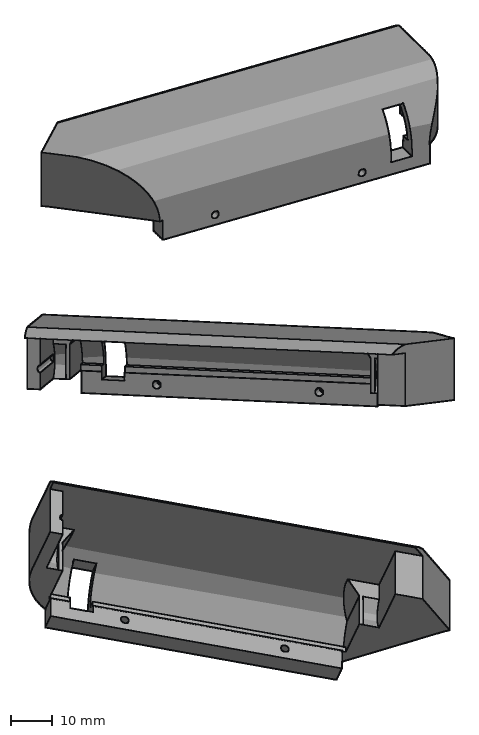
import cadquery as cq
import math

width = 32.2
length = 102.7
height = 20.5

base_z = 5.4
outer_radius = height - base_z
wall = 2.2
inner_radius = outer_radius - wall
arc_x = width - outer_radius
roof_overrun = 1.2
roof_bottom = height - wall

lip = 2.7
lip_bulge = 0.2

tip_x = 12.6
tip_flank = (13.6, 1.2)
front_left_y = 12.3
front_right_y = 21.7
rear_arc_x = 17.9
rear_right_y = 95.0

front_wall_y = 16.5
rear_wall_y = 99.5
gusset_x = 16.4
front_gusset_y = 21.5
rear_gusset_y = 95.5
gusset_flare = 2.9
flare_z = 14.0
rim = 0.9
recess_depth = 1.6

plate_thick = 4.7
plate_front_y = 22.5
plate_rear_y = 95.2
ledge_top = 6.9
ledge_setback = 0.3
hole_diameter = 2.0
hole_z = 2.9
hole_ys = (36.8, 76.7)

window_y = 84.6
window_width = 5.6
window_bottom = 3.5
window_height = 12.5

groove_z = 10.5
groove_y = 99.2


def box(x0, x1, y0, y1, z0, z1):
    return cq.Workplane("XY").box(x1 - x0, y1 - y0, z1 - z0, centered=False).translate((x0, y0, z0))


def x_cylinder(diameter, x0, x1, y, z):
    circle = cq.Workplane("YZ", origin=(x0, 0, 0)).center(y, z).circle(diameter / 2)
    return circle.extrude(x1 - x0)


def quarter_profile(left, radius, y0, y1):
    """Section with a rounded side; the flat top runs slightly past the arc center."""
    diagonal = radius * math.sqrt(0.5)
    profile = (
        cq.Workplane("XZ", origin=(0, y0, 0))
        .moveTo(left, base_z)
        .lineTo(left, base_z + radius)
        .lineTo(arc_x + roof_overrun, base_z + radius)
        .threePointArc((arc_x + diagonal, base_z + diagonal), (arc_x + radius, base_z))
        .close()
    )
    return profile.extrude(y0 - y1)


def make_lip():
    middle = (lip / 2 - lip_bulge, (roof_bottom + height) / 2 + lip_bulge)
    profile = (
        cq.Workplane("XZ")
        .moveTo(lip, roof_bottom)
        .lineTo(0, roof_bottom)
        .threePointArc(middle, (lip, height))
        .close()
    )
    return profile.extrude(-length)


def plan_prism():
    run = width - rear_arc_x
    drop = length - rear_right_y
    radius = (run**2 + drop**2) / (2 * drop)
    half_angle = math.asin(run / radius) / 2
    middle = (
        rear_arc_x + radius * math.sin(half_angle),
        length - radius * (1 - math.cos(half_angle)),
    )
    outline = (
        cq.Workplane("XY")
        .moveTo(tip_x, 0)
        .lineTo(*tip_flank)
        .lineTo(width, front_right_y)
        .lineTo(width, rear_right_y)
        .threePointArc(middle, (rear_arc_x, length))
        .lineTo(0, length)
        .lineTo(0, front_left_y)
        .close()
    )
    return outline.extrude(height)


def make_gusset(wall_y, edge_y):
    """Corner filler, flared under the roof, with a concave recess in its face."""
    inward = math.copysign(1, edge_y - wall_y)
    flare_y = edge_y + inward * gusset_flare
    profile = (
        cq.Workplane("YZ", origin=(gusset_x, 0, 0))
        .polyline(
            [
                (wall_y, base_z),
                (edge_y, base_z),
                (edge_y, flare_z),
                (flare_y, roof_bottom),
                (wall_y, roof_bottom),
            ]
        )
        .close()
    )
    recess = (
        cq.Workplane("XZ", origin=(0, wall_y, 0))
        .moveTo(gusset_x, base_z)
        .threePointArc((gusset_x + recess_depth, (base_z + flare_z) / 2), (gusset_x, flare_z))
        .close()
        .extrude(wall_y - (edge_y - inward * rim))
    )
    return profile.extrude(width - gusset_x).cut(recess)


shell = quarter_profile(lip, outer_radius, 0, length)
gussets = make_gusset(front_wall_y, front_gusset_y).union(make_gusset(rear_wall_y, rear_gusset_y))
cavity = quarter_profile(0, inner_radius, front_wall_y, rear_wall_y).cut(gussets)
body = shell.cut(cavity).union(make_lip()).intersect(plan_prism())

plate = box(width - plate_thick, width, plate_front_y, plate_rear_y, 0, base_z)
ledge = box(width - plate_thick + ledge_setback, width, front_gusset_y, rear_gusset_y, base_z, ledge_top)
ledge = ledge.intersect(quarter_profile(0, outer_radius, 0, length)).intersect(plan_prism())
body = body.union(plate).union(ledge)

for hole_y in hole_ys:
    body = body.cut(x_cylinder(hole_diameter, 0, width, hole_y, hole_z))
body = body.cut(
    box(gusset_x, width, window_y, window_y + window_width, window_bottom, window_bottom + window_height)
)
result = body.cut(x_cylinder(hole_diameter, 0, gusset_x, groove_y, groove_z))